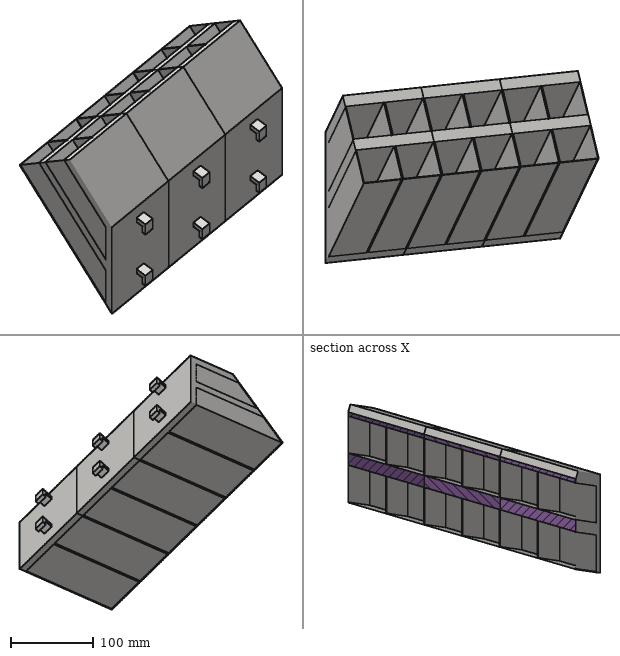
import cadquery as cq
import math


ROW_LENGTH = 300
MODULE_COUNT = 3
MODULE_WIDTH = ROW_LENGTH / MODULE_COUNT

SLOPE = math.sqrt(0.5)
TIER_COUNT = 2
SHELF_THICKNESS = 15
FLOOR_THICKNESS = 1.0
FRONT_HEIGHT = 120
TIER_HEIGHT = (FRONT_HEIGHT - FLOOR_THICKNESS) / TIER_COUNT
COMPARTMENT_HEIGHT = TIER_HEIGHT - SHELF_THICKNESS
TOP_LENGTH = MODULE_WIDTH
BASE_LENGTH = TOP_LENGTH + FRONT_HEIGHT
BACK_LENGTH = 15
EDGE_RADIUS = 1.0

SIDE_WALL = 1.0
DIVIDER_THICKNESS = 2 * SIDE_WALL
COMPARTMENT_WIDTH = (MODULE_WIDTH - DIVIDER_THICKNESS) / 2 - SIDE_WALL
COMPARTMENT_OFFSET = (DIVIDER_THICKNESS + COMPARTMENT_WIDTH) / 2

HOOK_REACH = 15
HOOK_WIDTH = 12.5
HOOK_HEIGHT = 19.8
HOOK_ARM_THICKNESS = 8.0
HOOK_TIP_THICKNESS = 5.0
LOWER_HOOK_TOP = 48.3
HOOK_PITCH = 100.2


def slope_point(height, distance):
    """X, Z of a point at a height above the base and a distance up the slope from the base's back edge."""
    return ((height - distance) * SLOPE, (height + distance) * SLOPE)


def extrude_profile(points, width, center_y):
    """Solid with an X, Z outline and a width along Y, centred on center_y."""
    plane = cq.Workplane("XZ", origin=(0, center_y, 0))
    return plane.polyline(points).close().extrude(width / 2, both=True)


def layer_profile(bottom, top, back):
    """Outline between two heights, from the open front to an upright end set in from the back."""
    return [
        slope_point(bottom, BASE_LENGTH),
        slope_point(top, BASE_LENGTH),
        slope_point(top, top + back),
        slope_point(bottom, bottom + back),
    ]


def make_housing(center_y):
    """Housing of one module, with its compartments cut out."""
    housing = extrude_profile(layer_profile(0, FRONT_HEIGHT, 0), MODULE_WIDTH, center_y)
    top_and_base = cq.selectors.ParallelDirSelector(cq.Vector(1, 0, -1))
    housing = housing.edges(top_and_base).fillet(EDGE_RADIUS)
    for tier in range(TIER_COUNT):
        bottom = FLOOR_THICKNESS + tier * TIER_HEIGHT
        outline = layer_profile(bottom, bottom + COMPARTMENT_HEIGHT, BACK_LENGTH)
        for side in (-1, 1):
            compartment_y = center_y + side * COMPARTMENT_OFFSET
            housing = housing.cut(extrude_profile(outline, COMPARTMENT_WIDTH, compartment_y))
    return housing


def make_hook(top, center_y):
    """L-shaped hook on the back face, with its tip pointing down."""
    points = [
        (0, top),
        (HOOK_REACH, top),
        (HOOK_REACH, top - HOOK_HEIGHT),
        (HOOK_REACH - HOOK_TIP_THICKNESS, top - HOOK_HEIGHT),
        (HOOK_REACH - HOOK_TIP_THICKNESS, top - HOOK_ARM_THICKNESS),
        (0, top - HOOK_ARM_THICKNESS),
    ]
    return extrude_profile(points, HOOK_WIDTH, center_y)


housings = []
hooks = []
for module in range(MODULE_COUNT):
    module_y = (module - (MODULE_COUNT - 1) / 2) * MODULE_WIDTH
    housings.append(make_housing(module_y).val())
    for hook_top in (LOWER_HOOK_TOP, LOWER_HOOK_TOP + HOOK_PITCH):
        hooks.append(make_hook(hook_top, module_y).val())

result = cq.Compound.makeCompound([*housings, *hooks])